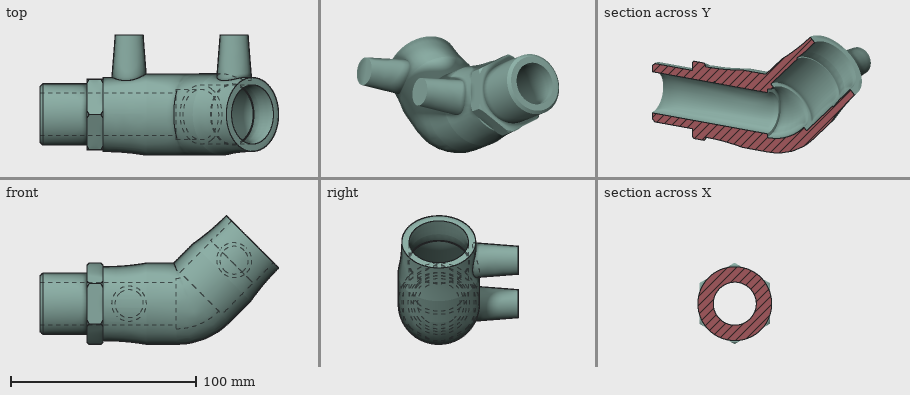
import cadquery as cq
import math

BEND_ANGLE = 45.0
BODY_DIAMETER = 44.0
MOUTH_DIAMETER = 40.0
BEND_RADIUS = 18.0
CORNER_X = 81.45
ARM_LENGTH = 47.25
PLAIN_LENGTH = 16.3

THREAD_DIAMETER = 33.25
THREAD_LENGTH = 25.4
THREAD_CHAMFER = 1.6
HEX_ACROSS_CORNERS = 44.0
HEX_CHAMFER = 1.2

INSERT_BORE = 23.0
BEND_BORE = 27.2
BEND_BORE_REACH = 7.9
SOCKET_DIAMETER = 32.0
GROOVE_DIAMETER = 33.25
GROOVE_START = 10.35
GROOVE_END = 15.5

TERMINAL_TIP_Y = 43.0
TERMINAL_TIP_DIAMETER = 15.2
TERMINAL_ROOT_Y = 17.0
TERMINAL_TAPER = 4.5
TERMINAL_DISTANCE = 33.2

bend_reach = BEND_RADIUS * math.tan(math.radians(BEND_ANGLE / 2))
plain_end = bend_reach + PLAIN_LENGTH
arm_end_x = CORNER_X - ARM_LENGTH


def place_on_rising_arm(shape):
    """Move a shape built along +X from the origin onto the rising arm."""
    return shape.rotate((0, 0, 0), (0, 1, 0), -BEND_ANGLE).translate((CORNER_X, 0, 0))


def place_on_straight_arm(shape):
    """Move a shape built along +X from the origin onto the straight arm."""
    return shape.rotate((0, 0, 0), (0, 0, 1), 180).translate((CORNER_X, 0, 0))


def rod(diameter, start, end):
    """Cylinder on the X axis between two distances."""
    return cq.Workplane("YZ").workplane(offset=start).circle(diameter / 2).extrude(end - start)


def arm():
    """Outside of one arm: a plain cylinder, then a hollow flank that levels out at the mouth."""
    flank_length = ARM_LENGTH - plain_end
    flank_drop = (BODY_DIAMETER - MOUTH_DIAMETER) / 2
    flank_radius = (flank_length**2 + flank_drop**2) / (2 * flank_drop)
    return (
        cq.Workplane("XY")
        .moveTo(bend_reach, 0)
        .lineTo(bend_reach, BODY_DIAMETER / 2)
        .lineTo(plain_end, BODY_DIAMETER / 2)
        .radiusArc((ARM_LENGTH, MOUTH_DIAMETER / 2), -flank_radius)
        .lineTo(ARM_LENGTH, 0)
        .close()
        .revolve(360, (0, 0, 0), (1, 0, 0))
    )


def revolve_bend(section):
    """Turn a section about the pivot axis, which runs along Y at the inside of the bend."""
    return section.revolve(BEND_ANGLE, (1, BEND_RADIUS), (-1, BEND_RADIUS))


def bend_plane():
    return cq.Workplane("YZ").workplane(offset=CORNER_X - bend_reach)


def outer_bend():
    """Outside of the elbow; it is wider than the bend radius, so its section stops at the pivot axis."""
    radius = BODY_DIAMETER / 2
    half_chord = math.sqrt(radius**2 - BEND_RADIUS**2)
    section = (
        bend_plane()
        .moveTo(-half_chord, BEND_RADIUS)
        .threePointArc((0, -radius), (half_chord, BEND_RADIUS))
        .close()
    )
    return cq.Workplane(revolve_bend(section).val().toNURBS())


def bend_bore():
    return revolve_bend(bend_plane().circle(BEND_BORE / 2))


def threaded_end():
    return rod(THREAD_DIAMETER, 0, arm_end_x).faces("<X").chamfer(THREAD_CHAMFER)


def hex_collar():
    """Hexagon with corners on Z, both ends rounded off by a chamfered disc."""
    width = arm_end_x - THREAD_LENGTH
    hexagon = (
        cq.Workplane("YZ")
        .workplane(offset=THREAD_LENGTH)
        .polygon(6, HEX_ACROSS_CORNERS)
        .extrude(width)
        .rotate((0, 0, 0), (1, 0, 0), 90)
    )
    disc = rod(HEX_ACROSS_CORNERS, THREAD_LENGTH, THREAD_LENGTH + width).edges().chamfer(HEX_CHAMFER)
    return hexagon.intersect(disc)


def terminal():
    """Tapered contact boss pointing to +Y, at its distance along the X axis."""
    length = TERMINAL_TIP_Y - TERMINAL_ROOT_Y
    tip_radius = TERMINAL_TIP_DIAMETER / 2
    root_radius = tip_radius + length * math.tan(math.radians(TERMINAL_TAPER))
    root = cq.Vector(TERMINAL_DISTANCE, TERMINAL_ROOT_Y, 0)
    return cq.Workplane(cq.Solid.makeCone(root_radius, tip_radius, length, root, cq.Vector(0, 1, 0)))


def socket():
    """Pipe socket with an undercut that widens inward and ends in a square shoulder."""
    groove_mouth = ARM_LENGTH - GROOVE_START
    groove_bottom = ARM_LENGTH - GROOVE_END
    undercut = (
        cq.Workplane("XY")
        .moveTo(groove_bottom, 0)
        .lineTo(groove_bottom, GROOVE_DIAMETER / 2)
        .lineTo(groove_mouth, SOCKET_DIAMETER / 2)
        .lineTo(groove_mouth, 0)
        .close()
        .revolve(360, (0, 0, 0), (1, 0, 0))
    )
    return rod(SOCKET_DIAMETER, BEND_BORE_REACH, ARM_LENGTH).union(undercut)


def passage():
    """Everything hollow: threaded bore, bend bore and pipe socket."""
    bend_bore_end = rod(BEND_BORE, bend_reach, BEND_BORE_REACH)
    return (
        bend_bore()
        .union(place_on_straight_arm(bend_bore_end))
        .union(place_on_rising_arm(bend_bore_end))
        .union(rod(INSERT_BORE, 0, CORNER_X - BEND_BORE_REACH))
        .union(place_on_rising_arm(socket()))
    )


body = (
    outer_bend()
    .union(place_on_straight_arm(arm()))
    .union(place_on_rising_arm(arm()))
    .union(threaded_end())
    .union(hex_collar())
    .union(terminal().translate((CORNER_X - 2 * TERMINAL_DISTANCE, 0, 0)))
    .union(place_on_rising_arm(terminal()))
)

result = body.cut(passage()).solids()